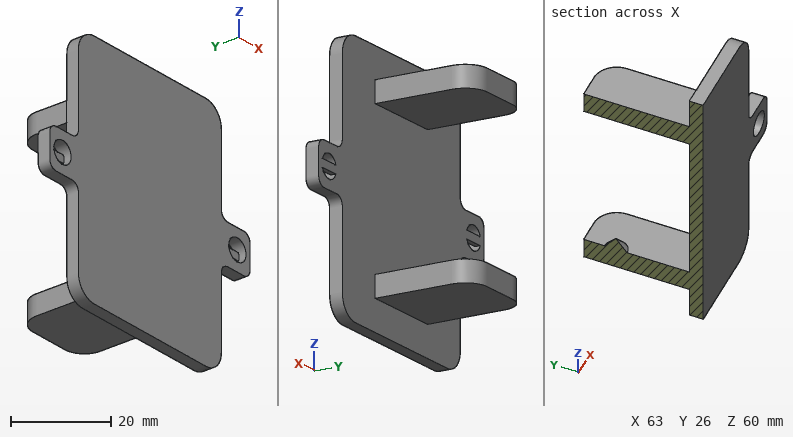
import cadquery as cq

PLATE_WIDTH = 45.0
PLATE_HEIGHT = 60.0
PLATE_THICKNESS = 3.0
PLATE_CORNER_RADIUS = 5.0

OVERALL_WIDTH = 63.0
EAR_HEIGHT = 10.0
EAR_RADIUS = 2.0
HOLE_DIAMETER = 5.4
HOLE_SPACING = 55.0

BAR_HEIGHT = 1.9
BAR_DEPTH = 1.2

OVERALL_DEPTH = 26.0
TONGUE_WIDTH = 20.0
TONGUE_THICKNESS = 5.0
TONGUE_CORNER_RADIUS = 5.0
TONGUE_GAP = 35.7

CATCH_DIAMETER = 4.9
CATCH_HEIGHT = 3.0
CATCH_Y = 19.0


def upright_block(width, height, depth):
    """Block centred on X and Z that starts at y = 0."""
    return cq.Workplane("XY").box(width, depth, height, centered=(True, False, True))


def make_plate():
    """Rounded plate with an ear on each side, blended into the plate edge."""
    body = upright_block(PLATE_WIDTH, PLATE_HEIGHT, PLATE_THICKNESS)
    body = body.edges("|Y").fillet(PLATE_CORNER_RADIUS)
    ears = upright_block(OVERALL_WIDTH, EAR_HEIGHT, PLATE_THICKNESS)
    ears = ears.edges("|Y").fillet(EAR_RADIUS)
    plate = body.union(ears)
    half_width = PLATE_WIDTH / 2
    half_ear = EAR_HEIGHT / 2
    margin = 0.5
    for side in (-1, 1):
        joint = cq.selectors.BoxSelector(
            (side * half_width - margin, -margin, -half_ear - margin),
            (side * half_width + margin, PLATE_THICKNESS + margin, half_ear + margin),
        )
        plate = plate.edges("|Y").edges(joint).fillet(EAR_RADIUS)
    return plate


def make_hole_cutter(x):
    """Ear hole, with the bar at its back left uncut."""
    hole = (
        cq.Workplane("XZ")
        .center(x, 0)
        .circle(HOLE_DIAMETER / 2)
        .extrude(-PLATE_THICKNESS)
    )
    bar = upright_block(HOLE_DIAMETER, BAR_HEIGHT, BAR_DEPTH)
    return hole.cut(bar.translate((x, PLATE_THICKNESS - BAR_DEPTH, 0)))


def make_tongue(side):
    """Tongue with rounded free corners; side is +1 for the upper one, -1 for the lower."""
    tongue = upright_block(TONGUE_WIDTH, TONGUE_THICKNESS, OVERALL_DEPTH)
    tongue = tongue.edges("|Z and >Y").fillet(TONGUE_CORNER_RADIUS)
    return tongue.translate((0, 0, side * (TONGUE_GAP + TONGUE_THICKNESS) / 2))


def make_catch():
    """Cone pointing up from the lower tongue."""
    base = cq.Vector(0, CATCH_Y, -TONGUE_GAP / 2)
    cone = cq.Solid.makeCone(CATCH_DIAMETER / 2, 0, CATCH_HEIGHT, base, cq.Vector(0, 0, 1))
    return cq.Workplane(cone)


result = make_plate()
for side in (-1, 1):
    result = result.union(make_tongue(side))
    result = result.cut(make_hole_cutter(side * HOLE_SPACING / 2))
result = result.union(make_catch())